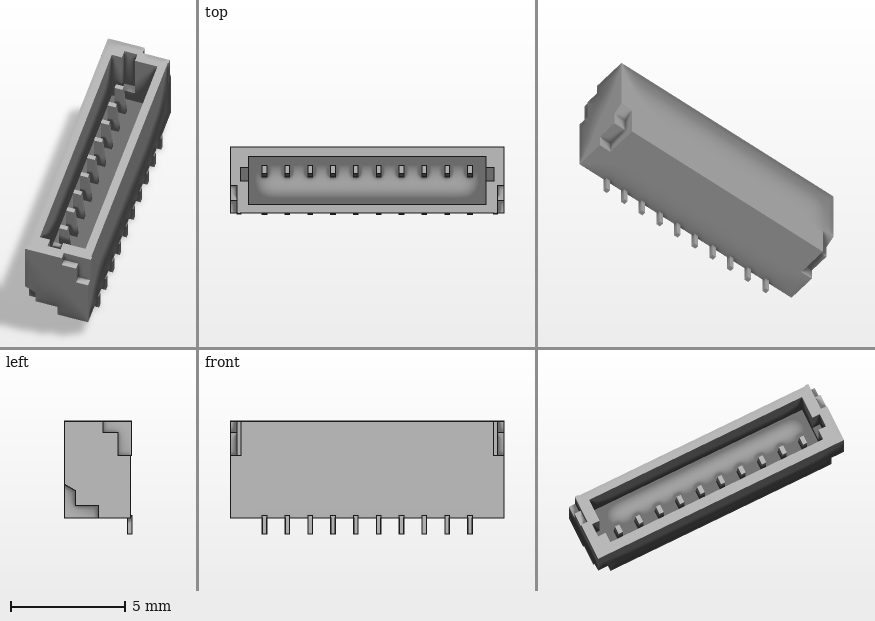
import cadquery as cq

LENGTH = 12.0
DEPTH = 2.9
HEIGHT = 4.25

POCKET_END_WALL = 0.8
POCKET_REAR_WALL = 0.43
POCKET_FRONT_WALL = 0.37
POCKET_DEPTH = 3.0

SLOT_END_WALL = 0.45
SLOT_WIDTH = 0.6
SLOT_REAR_OFFSET = 0.9
SLOT_DEPTH = 2.4

NOTCH_INSET = 0.3
NOTCH_UPPER_DROP = 0.5
NOTCH_LOWER_DROP = 1.51
NOTCH_UPPER_REACH = 1.21
NOTCH_LOWER_REACH = 0.55

RIB_WIDTH = 0.17
RIB_PROTRUSION = 0.04

RELIEF_INSET = 0.6
RELIEF_UPPER_REACH = 0.49
RELIEF_LOWER_REACH = 1.5
RELIEF_STEP_HEIGHT = 0.56
RELIEF_SLOPE_START = 1.2
RELIEF_SLOPE_END = 1.48

CONTACT_COUNT = 10
CONTACT_PITCH = LENGTH / (CONTACT_COUNT + 2)
CONTACT_WIDTH = 0.2
PIN_ROOT_DEPTH = 0.5
PIN_REAR_OFFSET = 0.82
PIN_DROP = 1.25
PIN_TAPER = 0.15
TAIL_THICKNESS = 0.2
TAIL_PROTRUSION = 0.06
TAIL_TOP = 0.11
TAIL_LENGTH = 0.7

FLOOR = HEIGHT - POCKET_DEPTH
HALF_LENGTH = LENGTH / 2


def block(x_range, y_range, z_range):
    """Rectangular block between the given limits."""
    (x0, x1), (y0, y1), (z0, z1) = x_range, y_range, z_range
    return cq.Workplane("XY").box(x1 - x0, y1 - y0, z1 - z0, centered=False).translate((x0, y0, z0))


def side_profile(points, x_start, width):
    """Extrude a (Y, Z) outline along +X."""
    return cq.Workplane("YZ", origin=(x_start, 0, 0)).polyline(points).close().extrude(width)


def both_ends(left_end):
    """The given shape together with its mirror image at the other end."""
    return left_end.union(left_end.mirror("YZ"))


def pocket():
    half_pocket = HALF_LENGTH - POCKET_END_WALL
    half_slots = HALF_LENGTH - SLOT_END_WALL
    slot_rear = DEPTH - SLOT_REAR_OFFSET
    main = block((-half_pocket, half_pocket), (POCKET_FRONT_WALL, DEPTH - POCKET_REAR_WALL), (FLOOR, HEIGHT))
    slots = block(
        (-half_slots, half_slots),
        (slot_rear - SLOT_WIDTH, slot_rear),
        (HEIGHT - SLOT_DEPTH, HEIGHT),
    )
    return main.union(slots)


def top_notch():
    outline = [
        (0, HEIGHT),
        (NOTCH_UPPER_REACH, HEIGHT),
        (NOTCH_UPPER_REACH, HEIGHT - NOTCH_UPPER_DROP),
        (NOTCH_LOWER_REACH, HEIGHT - NOTCH_UPPER_DROP),
        (NOTCH_LOWER_REACH, HEIGHT - NOTCH_LOWER_DROP),
        (0, HEIGHT - NOTCH_LOWER_DROP),
    ]
    return side_profile(outline, -HALF_LENGTH, NOTCH_INSET)


def bottom_relief():
    upper_y = DEPTH - RELIEF_UPPER_REACH
    lower_y = DEPTH - RELIEF_LOWER_REACH
    outline = [
        (DEPTH, 0),
        (lower_y, 0),
        (lower_y, RELIEF_STEP_HEIGHT),
        (upper_y, RELIEF_STEP_HEIGHT),
        (upper_y, RELIEF_SLOPE_START),
        (DEPTH, RELIEF_SLOPE_END),
    ]
    return side_profile(outline, -HALF_LENGTH, RELIEF_INSET)


def front_rib():
    x_start = -HALF_LENGTH + NOTCH_INSET
    y_range = (-RIB_PROTRUSION, POCKET_FRONT_WALL / 2)
    return block((x_start, x_start + RIB_WIDTH), y_range, (HEIGHT - NOTCH_LOWER_DROP, HEIGHT))


def contact(x_center):
    x_start = x_center - CONTACT_WIDTH / 2
    pin_rear = DEPTH - PIN_REAR_OFFSET
    pin_front = pin_rear - PIN_ROOT_DEPTH
    pin_top = HEIGHT - PIN_DROP
    root = FLOOR / 2
    pin_outline = [
        (pin_rear, root),
        (pin_rear, pin_top),
        (pin_front + PIN_TAPER, pin_top),
        (pin_front, FLOOR),
        (pin_front, root),
    ]
    pin = side_profile(pin_outline, x_start, CONTACT_WIDTH)
    y_range = (-TAIL_PROTRUSION, TAIL_THICKNESS - TAIL_PROTRUSION)
    tail = block((x_start, x_start + CONTACT_WIDTH), y_range, (-TAIL_LENGTH, TAIL_TOP))
    return pin, tail


housing = block((-HALF_LENGTH, HALF_LENGTH), (0, DEPTH), (0, HEIGHT))
housing = housing.cut(pocket()).cut(both_ends(top_notch())).cut(both_ends(bottom_relief()))
housing = housing.union(both_ends(front_rib()))

result = housing
for index in range(CONTACT_COUNT):
    pin, tail = contact((index - (CONTACT_COUNT - 1) / 2) * CONTACT_PITCH)
    result = result.union(pin).union(tail)